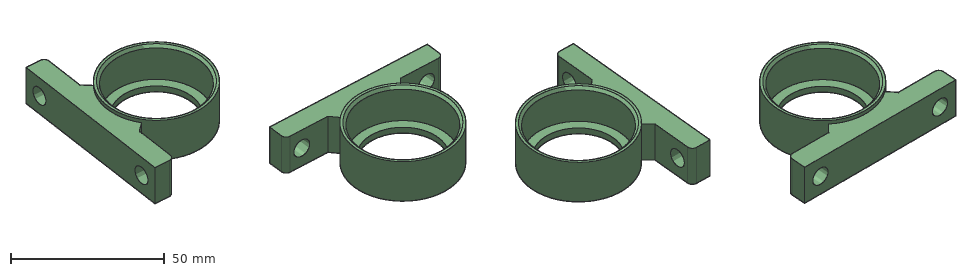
import cadquery as cq

plate_length = 67.0
plate_depth = 8.0
plate_height = 15.0
corner_radius = 2.0
bolt_hole_diameter = 6.7
bolt_hole_spacing = 53.0
bolt_hole_height = plate_height / 2

total_depth = 48.0
ring_height = 16.5
ring_diameter = 41.0
seat_diameter = 37.0
through_diameter = 30.0
floor_thickness = 2.5
rim_chamfer = 1.0
ring_center_y = total_depth - ring_diameter / 2

web_base_width = 30.8
web_top_width = 24.8
web_top_y = 11.4


def make_plate():
    plate = cq.Workplane("XY").box(
        plate_length, plate_depth, plate_height, centered=(True, False, False)
    )
    return plate.edges("|Z and >Y").fillet(corner_radius)


def make_web():
    return (
        cq.Workplane("XY")
        .moveTo(-web_base_width / 2, plate_depth)
        .lineTo(-web_top_width / 2, web_top_y)
        .lineTo(web_top_width / 2, web_top_y)
        .lineTo(web_base_width / 2, plate_depth)
        .close()
        .extrude(plate_height)
    )


def ring_cylinder(diameter, height, base_z=0.0):
    return (
        cq.Workplane("XY", origin=(0, ring_center_y, base_z))
        .circle(diameter / 2)
        .extrude(height)
    )


def make_bore():
    seat = ring_cylinder(seat_diameter, ring_height - floor_thickness, floor_thickness)
    rim_cone = (
        cq.Workplane("XY", origin=(0, ring_center_y, ring_height))
        .circle(seat_diameter / 2 + rim_chamfer)
        .workplane(offset=-rim_chamfer)
        .circle(seat_diameter / 2)
        .loft()
    )
    return ring_cylinder(through_diameter, ring_height).union(seat).union(rim_cone)


def make_bolt_holes():
    return (
        cq.Workplane("XZ", origin=(0, 0, bolt_hole_height))
        .rarray(bolt_hole_spacing, 0.7, 2, 1)
        .circle(bolt_hole_diameter / 2)
        .extrude(-plate_depth)
    )


body = make_plate().union(make_web()).union(ring_cylinder(ring_diameter, ring_height))
result = body.cut(make_bore()).cut(make_bolt_holes())